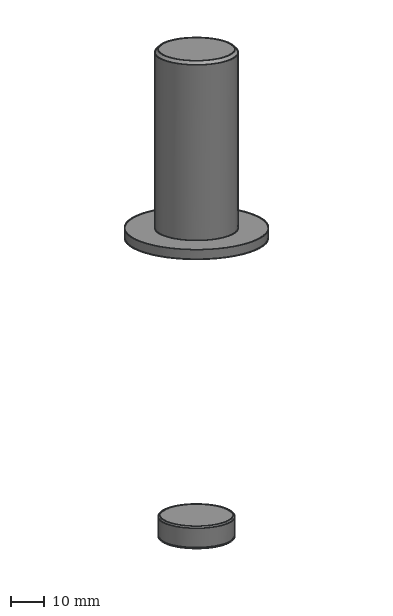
import cadquery as cq

total_height = 153.0

flange_diameter = 43.0
flange_thickness = 3.0
shank_diameter = 25.0
pin_height = 59.0
pin_chamfer = 1.0

disc_diameter = 23.0
disc_thickness = 7.0
disc_chamfer = 0.5

pin_base_z = total_height - pin_height
shank_length = pin_height - flange_thickness


def make_flanged_pin():
    """Round shank with a chamfered top, rising from a thin round flange."""
    flange = cq.Workplane("XY", origin=(0, 0, pin_base_z)).circle(flange_diameter / 2).extrude(flange_thickness)
    shank = flange.faces(">Z").workplane().circle(shank_diameter / 2).extrude(shank_length)
    return shank.faces(">Z").edges().chamfer(pin_chamfer)


def make_disc():
    """Plain disc with both rims chamfered."""
    blank = cq.Workplane("XY").circle(disc_diameter / 2).extrude(disc_thickness)
    return blank.faces("<Z or >Z").edges().chamfer(disc_chamfer)


flanged_pin = make_flanged_pin()
disc = make_disc()

result = cq.Compound.makeCompound([flanged_pin.val(), disc.val()])